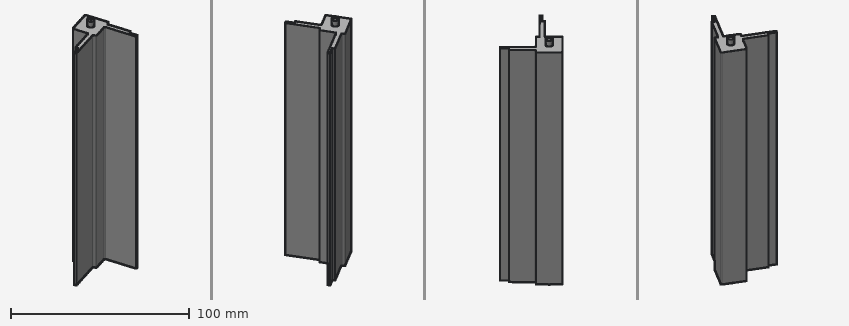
import cadquery as cq

total_height = 170.0
outer_width = 35.0

post_side = 15.0
post_edge_radius = 0.5

flange_setback = 2.0
flange_thickness = 3.0
lip_thickness = 1.5
lip_length = 5.1
root_radius = 0.5

pin_diameter = 4.0
pin_length = 5.0
pin_chamfer = 1.0

body_height = total_height - 2 * pin_length
half_post = post_side / 2
flange_tip = outer_width - half_post
lip_start = flange_tip - lip_length
flange_outer = half_post - flange_setback
flange_inner = flange_outer - flange_thickness


def extrude_outline(points):
    """Extrude a closed outline over the body height, centred on Z = 0."""
    return cq.Workplane("XY").polyline(points).close().extrude(body_height / 2, both=True)


def make_post():
    post = cq.Workplane("XY").box(post_side, post_side, body_height)
    return post.edges("|Z").fillet(post_edge_radius)


def make_x_flange():
    """Flange towards +X, with its thin lip flush with the -Y face."""
    lip_outer = flange_inner + lip_thickness
    return extrude_outline([
        (0, flange_inner),
        (flange_tip, flange_inner),
        (flange_tip, lip_outer),
        (lip_start, lip_outer),
        (lip_start, flange_outer),
        (0, flange_outer),
    ])


def make_y_flange():
    """Flange towards -Y, with its thin lip flush with the +X face."""
    lip_inner = flange_outer - lip_thickness
    return extrude_outline([
        (flange_outer, 0),
        (flange_outer, -flange_tip),
        (lip_inner, -flange_tip),
        (lip_inner, -lip_start),
        (flange_inner, -lip_start),
        (flange_inner, 0),
    ])


def make_pins():
    """One through rod forms both pins, chamfered at each end."""
    rod = cq.Workplane("XY").circle(pin_diameter / 2).extrude(total_height / 2, both=True)
    return rod.faces("|Z").edges().chamfer(pin_chamfer)


def make_profile():
    """Post and flanges joined, with the inside corners between them rounded."""
    profile = make_post().union(make_x_flange()).union(make_y_flange())
    for offset in (flange_inner, flange_outer):
        for x, y in ((half_post, offset), (offset, -half_post)):
            root_edge = cq.selectors.NearestToPointSelector((x, y, 0))
            profile = profile.edges("|Z").edges(root_edge).fillet(root_radius)
    return profile


result = make_profile().union(make_pins())